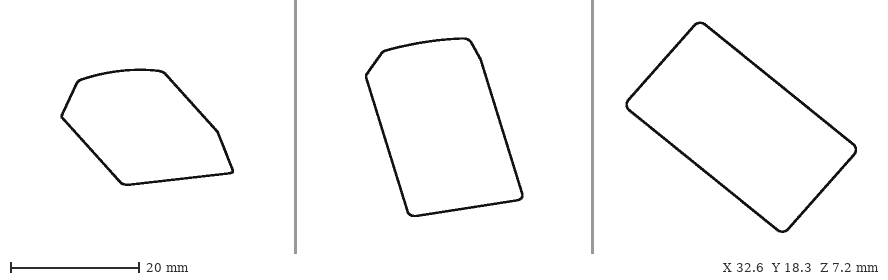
import cadquery as cq

length = 32.59
width = 18.3
height = 7.2

wall_draft = 17.7
crown_radius = 25.0
corner_radius = 1.25
rim_radius = 0.6

block_height = height + 1.0


def drafted_body():
    """Solid block with four inward-leaning walls and rounded corners."""
    block = cq.Workplane("XY").rect(length, width).extrude(block_height, taper=wall_draft)
    upright_edges = "not(#Z or |X or |Y)"
    return block.edges(upright_edges).fillet(corner_radius)


def crown_cylinder():
    """Cylinder along X whose highest line is the ridge of the dome."""
    return (
        cq.Workplane("YZ")
        .center(0, height - crown_radius)
        .circle(crown_radius)
        .extrude(length, both=True)
    )


def round_rim(body):
    """Round the closed edge where the dome meets the walls and corners."""
    dome = body.faces("%CYLINDER").faces(">Z")
    return dome.edges().fillet(rim_radius)


result = round_rim(drafted_body().intersect(crown_cylinder()))